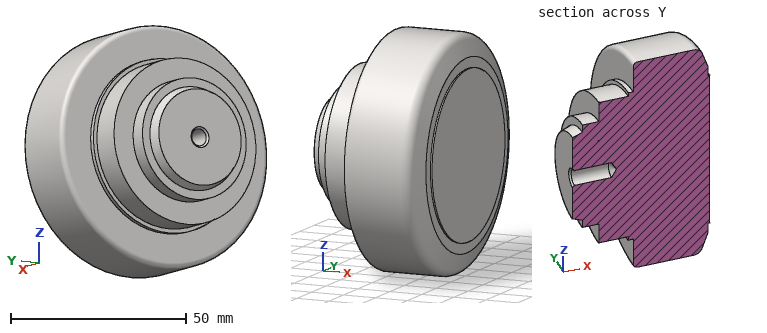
import cadquery as cq
import math

outer_radius = 35.05
total_length = 42.0

nose_length = 3.0
nose_root_radius = 15.0
nose_taper_angle = 20.0
neck_end = 8.0
neck_radius = 17.5
hub_end = 17.0
hub_radius = 24.0
collar_radius = 25.2

ring_start = 18.5
ring_end = 41.5
front_fillet = 1.5
rear_fillet = 3.0
rear_fillet_start = 36.95
rear_bevel_angle = 20.0

hole_radius = 2.45
hole_depth = 11.9
mouth_radius = 3.0
mouth_depth = mouth_radius - hole_radius
drill_tip_angle = 118.0


def fillet_point(center_x, center_r, radius, angle):
    """Point on a profile arc, with the angle measured from +X towards the outside."""
    a = math.radians(angle)
    return center_x + radius * math.cos(a), center_r + radius * math.sin(a)


def turned(profile):
    """Revolve a closed half profile about the X axis."""
    return profile.close().revolve(360, (0, 0, 0), (1, 0, 0))


def make_body():
    nose_tip_radius = nose_root_radius - nose_length * math.tan(math.radians(nose_taper_angle))

    front_arc = (ring_start + front_fillet, outer_radius - front_fillet, front_fillet)
    rear_arc = (rear_fillet_start, outer_radius - rear_fillet, rear_fillet)

    bevel_start = fillet_point(*rear_arc, rear_bevel_angle)
    bevel_drop = (ring_end - bevel_start[0]) / math.tan(math.radians(rear_bevel_angle))
    rear_middle_angle = (90 + rear_bevel_angle) / 2

    profile = (
        cq.Workplane("XY")
        .moveTo(0, 0)
        .lineTo(0, nose_tip_radius)
        .lineTo(nose_length, nose_root_radius)
        .lineTo(nose_length, neck_radius)
        .lineTo(neck_end, neck_radius)
        .lineTo(neck_end, hub_radius)
        .lineTo(hub_end, hub_radius)
        .lineTo(hub_end, collar_radius)
        .lineTo(ring_start, collar_radius)
        .lineTo(*fillet_point(*front_arc, 180))
        .threePointArc(fillet_point(*front_arc, 135), fillet_point(*front_arc, 90))
        .lineTo(*fillet_point(*rear_arc, 90))
        .threePointArc(fillet_point(*rear_arc, rear_middle_angle), bevel_start)
        .lineTo(ring_end, bevel_start[1] - bevel_drop)
        .lineTo(ring_end, collar_radius)
        .lineTo(total_length, collar_radius)
        .lineTo(total_length, 0)
    )
    return turned(profile)


def make_hole():
    tip_length = hole_radius / math.tan(math.radians(drill_tip_angle / 2))
    profile = (
        cq.Workplane("XY")
        .moveTo(0, 0)
        .lineTo(0, mouth_radius)
        .lineTo(mouth_depth, hole_radius)
        .lineTo(hole_depth, hole_radius)
        .lineTo(hole_depth + tip_length, 0)
    )
    return turned(profile)


result = make_body().cut(make_hole())